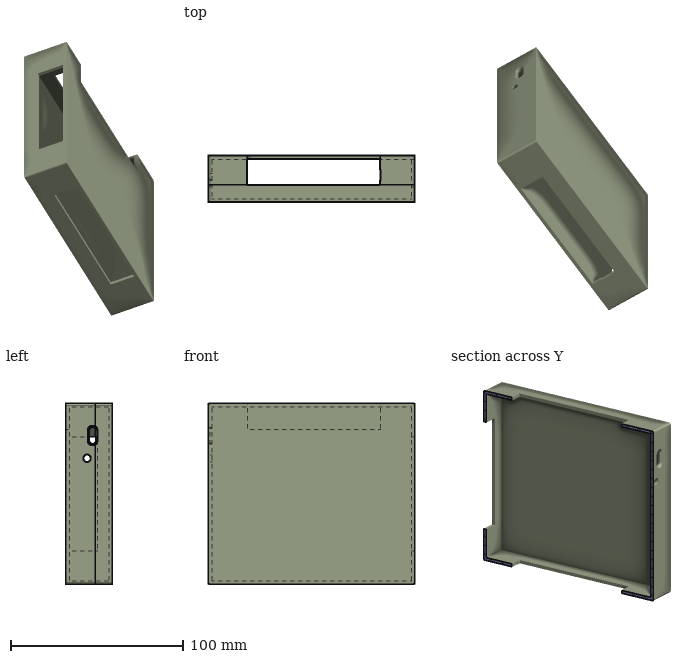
import cadquery as cq

WIDTH = 120.0
DEPTH = 27.0
HEIGHT = 105.0
WALL = 2.0
CORNER_RADIUS = 1.1
LID_DEPTH = 10.0
TRAY_DEPTH = DEPTH - LID_DEPTH

FRONT_Y = -DEPTH / 2
SEAM_Y = FRONT_Y + LID_DEPTH
BACK_Y = DEPTH / 2
BACK_INNER_Y = BACK_Y - WALL
TOP_Z = HEIGHT / 2
LEFT_X = -WIDTH / 2
RIGHT_X = WIDTH / 2

OPENING_LEFT_X = LEFT_X + 22.7
OPENING_RIGHT_X = RIGHT_X - 20.0
BACK_PLATE_DROP = 15.0

BOTTOM_RIGHT_X = OPENING_RIGHT_X - 0.5
BOTTOM_NOTCH_WIDTH = 6.6
BOTTOM_NOTCH_Y = BACK_Y - 11.3

WINDOW_HEIGHT = 66.0
WINDOW_LID_REACH = 1.2

SLOT_Y = BACK_Y - 15.6
SLOT_Z = TOP_Z - 18.7
SLOT_LENGTH = 9.6
SLOT_WIDTH = 3.8
SLOT_FLARE = 1.0
FLARE_ANGLE = 45

HOLE_Y = BACK_Y - 12.4
HOLE_Z = TOP_Z - 31.9
HOLE_DIAMETER = 4.2


def box_between(x_range, y_range, z_range):
    """Box spanning the given (low, high) range along each axis."""
    ranges = (x_range, y_range, z_range)
    sizes = [high - low for low, high in ranges]
    corner = tuple(low for low, high in ranges)
    return cq.Workplane("XY").box(*sizes, centered=False).translate(corner)


def rounded_block(depth, y_start):
    """Solid block of one half of the case, with rounded corners along Y."""
    block = box_between((LEFT_X, RIGHT_X), (y_start, y_start + depth), (-TOP_Z, TOP_Z))
    return block.edges("|Y").fillet(CORNER_RADIUS)


def cavity():
    """Space inside the walls, shared by both halves."""
    return box_between(
        (LEFT_X + WALL, RIGHT_X - WALL),
        (FRONT_Y + WALL, BACK_INNER_Y),
        (-TOP_Z + WALL, TOP_Z - WALL),
    )


def top_opening():
    """Gap in the top wall and the upper part of the back plate."""
    return box_between(
        (OPENING_LEFT_X, OPENING_RIGHT_X), (SEAM_Y, BACK_Y), (TOP_Z - BACK_PLATE_DROP, TOP_Z)
    )


def bottom_opening():
    """Gap in the bottom wall with the shallow notch in its +X end."""
    z_range = (-TOP_Z, -TOP_Z + WALL)
    gap = box_between((OPENING_LEFT_X, BOTTOM_RIGHT_X), (SEAM_Y, BACK_INNER_Y), z_range)
    half_notch = BOTTOM_NOTCH_WIDTH / 2
    notch = box_between(
        (OPENING_LEFT_X, OPENING_RIGHT_X),
        (BOTTOM_NOTCH_Y - half_notch, BOTTOM_NOTCH_Y + half_notch),
        z_range,
    )
    return gap.union(notch)


def side_window():
    """Window through the +X wall, cut partly from each half."""
    return box_between(
        (RIGHT_X - WALL, RIGHT_X),
        (SEAM_Y - WINDOW_LID_REACH, BACK_INNER_Y),
        (-WINDOW_HEIGHT / 2, WINDOW_HEIGHT / 2),
    )


def left_wall_plane(y, z):
    """Plane on the outer -X face with its normal pointing into the case."""
    return cq.Workplane("YZ", origin=(LEFT_X, y, z))


def port_slot():
    """Upright rounded slot through the -X wall, flared at 45 degrees on the outside."""
    plane = left_wall_plane(SLOT_Y, SLOT_Z)
    throat = plane.slot2D(SLOT_LENGTH, SLOT_WIDTH, 90).extrude(WALL)
    mouth_length = SLOT_LENGTH + 2 * SLOT_FLARE
    mouth_width = SLOT_WIDTH + 2 * SLOT_FLARE
    mouth = plane.slot2D(mouth_length, mouth_width, 90).extrude(SLOT_FLARE, taper=FLARE_ANGLE)
    return throat.union(mouth)


def round_hole():
    """Round hole through the -X wall."""
    return left_wall_plane(HOLE_Y, HOLE_Z).circle(HOLE_DIAMETER / 2).extrude(WALL)


def make_lid():
    """Front half: a closed plate with a rim."""
    lid = rounded_block(LID_DEPTH, FRONT_Y)
    for cutter in (cavity(), side_window(), port_slot()):
        lid = lid.cut(cutter)
    return lid


def make_tray():
    """Back half: a plate with deeper walls, open at the top and bottom."""
    tray = rounded_block(TRAY_DEPTH, SEAM_Y)
    cutters = (cavity(), top_opening(), bottom_opening(), side_window(), port_slot(), round_hole())
    for cutter in cutters:
        tray = tray.cut(cutter)
    return tray


lid = make_lid()
tray = make_tray()

result = cq.Compound.makeCompound([lid.val(), tray.val()])